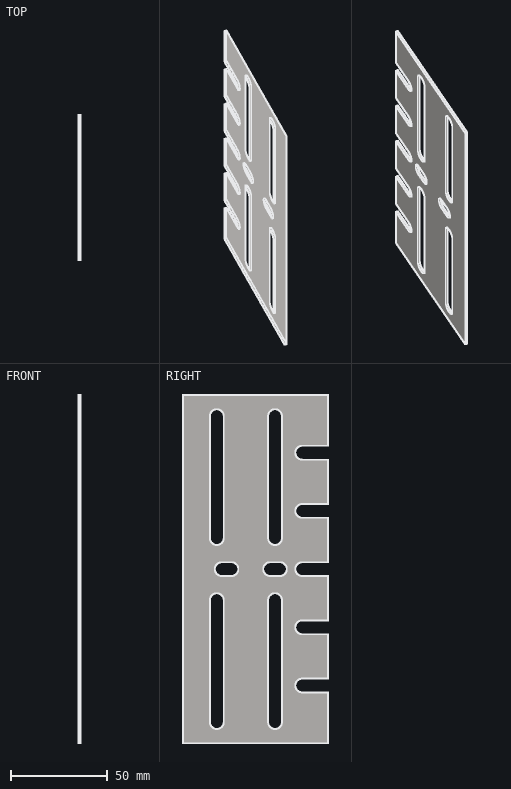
import cadquery as cq

thickness = 1.2
width = 75.0
height = 180.0

slot_width = 7.0

long_slot_length = 70.0
long_slot_height = 47.5
long_slot_columns = (10.0, -20.0)

short_slot_length = 12.0
short_slot_columns = (10.0, -15.0)

notch_count = 5
notch_pitch = 30.0
notch_depth = 17.0


def slot_cutter(centers, length, angle):
    """Through-cutting slots in the YZ plane; angle 0 lies along Y, 90 along Z."""
    return (
        cq.Workplane("YZ")
        .pushPoints(centers)
        .slot2D(length, slot_width, angle)
        .extrude(thickness, both=True)
    )


plate = cq.Workplane("YZ").rect(width, height).extrude(thickness / 2, both=True)

long_centers = [(y, side * long_slot_height) for y in long_slot_columns for side in (1, -1)]
long_slots = slot_cutter(long_centers, long_slot_length, 90)

short_centers = [(y, 0) for y in short_slot_columns]
short_slots = slot_cutter(short_centers, short_slot_length, 0)

notch_centers = [(width / 2, (i - (notch_count - 1) / 2) * notch_pitch) for i in range(notch_count)]
notches = slot_cutter(notch_centers, 2 * notch_depth, 0)

result = plate.cut(long_slots).cut(short_slots).cut(notches)